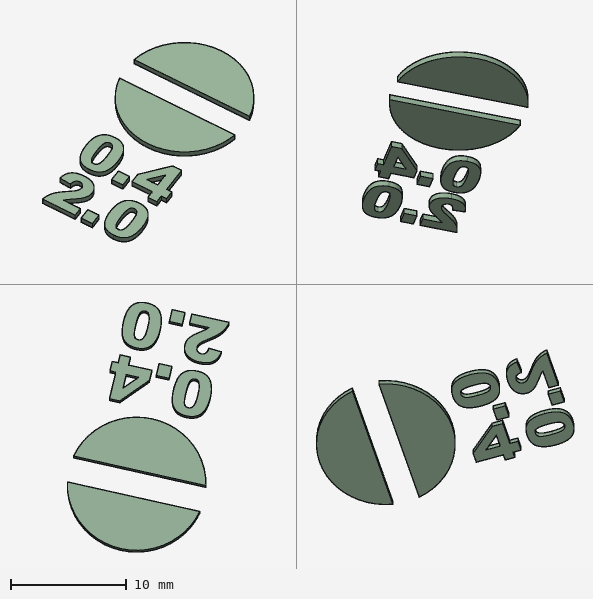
import cadquery as cq
import math

THICKNESS = 0.6

DISC_RADIUS = 6.0
GAP_HALF_WIDTH = 1.2

UPPER_BASELINE = -11.0
LOWER_BASELINE = -15.98
DIGIT_OFFSET = 2.8
DIGIT_HEIGHT = 4.05
DOT_WIDTH = 1.15
DOT_HEIGHT = 1.1

ZERO_DIP = 0.09
ZERO_HALF_WIDTH = 1.63
ZERO_FULLNESS = 0.68
COUNTER_HALF_WIDTH = 0.53
COUNTER_HALF_HEIGHT = 1.32
COUNTER_FULLNESS = 0.73

FOUR_HALF_WIDTH = 1.77
FOUR_STEM_LEFT = 0.3
FOUR_STEM_RIGHT = 1.24
FOUR_BAR_BOTTOM = 0.73
FOUR_BAR_TOP = 1.61
FOUR_SLANT_BOTTOM = 1.68
FOUR_COUNTER_LEFT = -0.8
FOUR_COUNTER_TOP = 2.87

TWO_FOOT_LEFT = -1.7
TWO_FOOT_RIGHT = 1.63
TWO_FOOT_TOP = 0.85
TWO_CORNER_X = -0.09
TWO_BOWL_RIGHT = 1.6
TWO_BOWL_INNER_RIGHT = 0.5
TWO_BOWL_Y = 2.82
TWO_BOWL_INNER_TOP = 3.3
TWO_TIP_OUTER = (-1.63, 2.74)
TWO_TIP_INNER = (-0.5, 2.67)
TWO_NECK_UNDER_START = (0.3, 1.4)
TWO_NECK_UNDER_END_Y = 1.85
TWO_SHOULDER_Y = 3.62
TWO_SHOULDER_X = 0.93
TWO_BROW_X = -1.0
TWO_BROW_END = (-1.55, 3.65)
TWO_HOOK_START = (-0.49, 3.1)
TWO_HOOK_LEFT_X = -0.26
TWO_HOOK_RIGHT_X = 0.29
TWO_HOOK_RIGHT_Y = 3.1
TWO_NECK_OVER_START_Y = 1.99
TWO_NECK_OVER_END = (-1.45, 1.68)


def half_disc(side):
    """Disc segment above (side = 1) or below (side = -1) the gap."""
    half_chord = math.sqrt(DISC_RADIUS**2 - GAP_HALF_WIDTH**2)
    chord_y = side * GAP_HALF_WIDTH
    return (
        cq.Workplane("XY")
        .moveTo(-half_chord, chord_y)
        .threePointArc((0, side * DISC_RADIUS), (half_chord, chord_y))
        .close()
        .extrude(THICKNESS)
    )


def dot(baseline):
    """Square dot standing on a baseline."""
    return (
        cq.Workplane("XY")
        .center(0, baseline + DOT_HEIGHT / 2)
        .rect(DOT_WIDTH, DOT_HEIGHT)
        .extrude(THICKNESS)
    )


def rounded_prism(center, half_width, half_height, fullness):
    """Prism on a closed oval made of four curves, one for each quarter."""
    handle_x = fullness * half_width
    handle_y = fullness * half_height
    w, h = half_width, half_height
    return (
        cq.Workplane("XY")
        .center(*center)
        .moveTo(w, 0)
        .bezier([(w, 0), (w, handle_y), (handle_x, h), (0, h)])
        .bezier([(0, h), (-handle_x, h), (-w, handle_y), (-w, 0)])
        .bezier([(-w, 0), (-w, -handle_y), (-handle_x, -h), (0, -h)])
        .bezier([(0, -h), (handle_x, -h), (w, -handle_y), (w, 0)])
        .close()
        .extrude(THICKNESS)
    )


def digit_zero(x, baseline):
    """Rounded ring with a tall rounded counter."""
    half_height = (DIGIT_HEIGHT + ZERO_DIP) / 2
    center = (x, baseline - ZERO_DIP + half_height)
    ring = rounded_prism(center, ZERO_HALF_WIDTH, half_height, ZERO_FULLNESS)
    counter = rounded_prism(center, COUNTER_HALF_WIDTH, COUNTER_HALF_HEIGHT, COUNTER_FULLNESS)
    return ring.cut(counter)


def digit_four(x, baseline):
    """Stem, crossbar and slanted stroke around a triangular counter."""
    base = cq.Workplane("XY").center(x, baseline)
    outline = [
        (FOUR_STEM_LEFT, 0),
        (FOUR_STEM_RIGHT, 0),
        (FOUR_STEM_RIGHT, FOUR_BAR_BOTTOM),
        (FOUR_HALF_WIDTH, FOUR_BAR_BOTTOM),
        (FOUR_HALF_WIDTH, FOUR_BAR_TOP),
        (FOUR_STEM_RIGHT, FOUR_BAR_TOP),
        (FOUR_STEM_RIGHT, DIGIT_HEIGHT),
        (FOUR_STEM_LEFT, DIGIT_HEIGHT),
        (-FOUR_HALF_WIDTH, FOUR_SLANT_BOTTOM),
        (-FOUR_HALF_WIDTH, FOUR_BAR_BOTTOM),
        (FOUR_STEM_LEFT, FOUR_BAR_BOTTOM),
    ]
    triangle = [
        (FOUR_STEM_LEFT, FOUR_BAR_TOP),
        (FOUR_STEM_LEFT, FOUR_COUNTER_TOP),
        (FOUR_COUNTER_LEFT, FOUR_BAR_TOP),
    ]
    counter = base.polyline(triangle).close().extrude(THICKNESS)
    return base.polyline(outline).close().extrude(THICKNESS).cut(counter)


def digit_two(x, baseline):
    """Flat foot, slanting neck and a round bowl ending in a blunt tip."""
    foot_left = (TWO_FOOT_LEFT, 0)
    corner = (TWO_CORNER_X, TWO_FOOT_TOP)
    bowl_right = (TWO_BOWL_RIGHT, TWO_BOWL_Y)
    bowl_top = (0, DIGIT_HEIGHT)
    inner_top = (0, TWO_BOWL_INNER_TOP)
    inner_right = (TWO_BOWL_INNER_RIGHT, TWO_BOWL_Y)
    neck_under = [corner, TWO_NECK_UNDER_START, (TWO_BOWL_RIGHT, TWO_NECK_UNDER_END_Y), bowl_right]
    shoulder = [bowl_right, (TWO_BOWL_RIGHT, TWO_SHOULDER_Y), (TWO_SHOULDER_X, DIGIT_HEIGHT), bowl_top]
    brow = [bowl_top, (TWO_BROW_X, DIGIT_HEIGHT), TWO_BROW_END, TWO_TIP_OUTER]
    hook_left = [TWO_TIP_INNER, TWO_HOOK_START, (TWO_HOOK_LEFT_X, TWO_BOWL_INNER_TOP), inner_top]
    hook_right = [
        inner_top,
        (TWO_HOOK_RIGHT_X, TWO_BOWL_INNER_TOP),
        (TWO_BOWL_INNER_RIGHT, TWO_HOOK_RIGHT_Y),
        inner_right,
    ]
    neck_over = [inner_right, (TWO_BOWL_INNER_RIGHT, TWO_NECK_OVER_START_Y), TWO_NECK_OVER_END, foot_left]
    return (
        cq.Workplane("XY")
        .center(x, baseline)
        .moveTo(*foot_left)
        .lineTo(TWO_FOOT_RIGHT, 0)
        .lineTo(TWO_FOOT_RIGHT, TWO_FOOT_TOP)
        .lineTo(*corner)
        .bezier(neck_under)
        .bezier(shoulder)
        .bezier(brow)
        .lineTo(*TWO_TIP_INNER)
        .bezier(hook_left)
        .bezier(hook_right)
        .bezier(neck_over)
        .close()
        .extrude(THICKNESS)
    )


half_discs = [half_disc(side) for side in (1, -1)]
dots = [dot(baseline) for baseline in (UPPER_BASELINE, LOWER_BASELINE)]
zero_places = [(-DIGIT_OFFSET, UPPER_BASELINE), (DIGIT_OFFSET, LOWER_BASELINE)]
zeros = [digit_zero(x, baseline) for x, baseline in zero_places]
four = digit_four(DIGIT_OFFSET, UPPER_BASELINE)
two = digit_two(-DIGIT_OFFSET, LOWER_BASELINE)

bodies = [*half_discs, *dots, *zeros, four, two]
result = cq.Compound.makeCompound([body.val() for body in bodies])